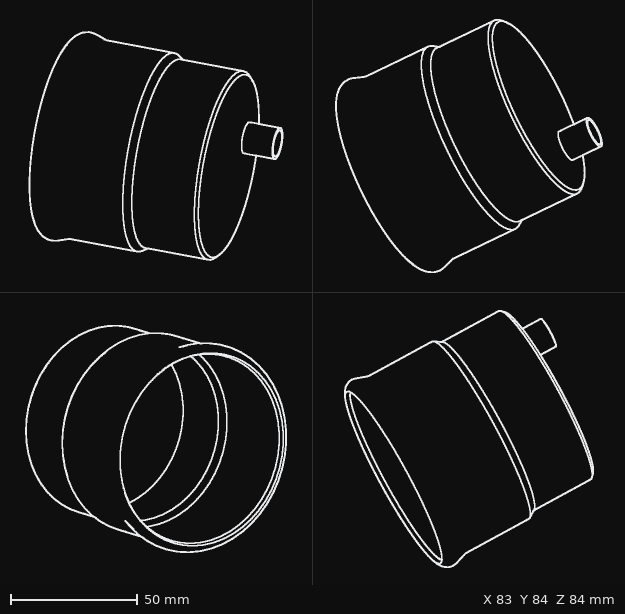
import cadquery as cq
import math

total_length = 83.0
bead_radius = 4.2
flare_end = 10.6
blend_radius = 4.2
step_start = 39.6
step_end = 42.7
cup_length = 70.1
end_chamfer = 1.3

rim_radius = 42.0
body_radius = 40.1
base_radius = 38.05
mouth_radius = 38.7
wall = 2.0

tube_offset = 21.8
tube_radius = 6.3
bore_radius = 5.3

cup_start = -total_length / 2
bead_center_radius = rim_radius - bead_radius
mouth_angle = math.pi - math.asin((mouth_radius - bead_center_radius) / bead_radius)
bead_center_station = -bead_radius * math.cos(mouth_angle)
groove_radius = bead_radius - wall
body_bore = body_radius - wall
base_bore = base_radius - wall
flare_dx = flare_end - bead_center_station
flare_dr = body_radius - bead_center_radius
flare_normal = math.atan2(flare_dr, flare_dx) + math.acos(bead_radius / math.hypot(flare_dx, flare_dr))
flare_slope = math.pi / 2 - flare_normal
blend_center = (
    flare_end + blend_radius * math.tan(flare_slope / 2),
    body_radius + blend_radius,
)


def on_bead(radius, angle):
    """Point (axial station, radius) on a circle about the bead center; angle is taken from +X."""
    return (
        bead_center_station + radius * math.cos(angle),
        bead_center_radius + radius * math.sin(angle),
    )


def on_blend(radius, slope):
    """Point on a circle about the blend center where its tangent falls by the given slope angle."""
    return (
        blend_center[0] - radius * math.sin(slope),
        blend_center[1] - radius * math.cos(slope),
    )


def add_rim_path(profile, bead_arc_radius, start_angle, blend_arc_radius):
    """Add bead arc, flare and blend arc to a profile standing at the start angle of the bead."""
    return (
        profile.threePointArc(
            on_bead(bead_arc_radius, (start_angle + flare_normal) / 2),
            on_bead(bead_arc_radius, flare_normal),
        )
        .lineTo(*on_blend(blend_arc_radius, flare_slope))
        .threePointArc(on_blend(blend_arc_radius, flare_slope / 2), on_blend(blend_arc_radius, 0))
    )


def revolve_about_x(profile):
    return profile.close().revolve(360, (0, 0, 0), (1, 0, 0)).translate((cup_start, 0, 0))


def outer_body():
    profile = cq.Workplane("XY").lineTo(0, mouth_radius)
    profile = (
        add_rim_path(profile, bead_radius, mouth_angle, blend_radius)
        .lineTo(step_start, body_radius)
        .lineTo(step_end, base_radius)
        .lineTo(cup_length - end_chamfer, base_radius)
        .lineTo(cup_length, base_radius - end_chamfer)
        .lineTo(cup_length, 0)
    )
    return revolve_about_x(profile)


def cavity():
    lip_angle = math.pi - math.asin((body_bore - bead_center_radius) / groove_radius)
    profile = (
        cq.Workplane("XY")
        .lineTo(0, mouth_radius)
        .lineTo(*on_bead(groove_radius, lip_angle))
    )
    profile = (
        add_rim_path(profile, groove_radius, lip_angle, blend_radius + wall)
        .lineTo(step_start, body_bore)
        .lineTo(step_end, base_bore)
        .lineTo(cup_length - wall, base_bore)
        .lineTo(cup_length - wall, 0)
    )
    return revolve_about_x(profile)


def axial_cylinder(radius, start, end):
    """Cylinder on the tube axis between two axial stations."""
    plane = cq.Workplane("YZ", origin=(cup_start + start, tube_offset, 0))
    return plane.circle(radius).extrude(end - start)


floor_start = cup_length - wall
result = (
    outer_body()
    .cut(cavity())
    .union(axial_cylinder(tube_radius, floor_start, total_length))
    .cut(axial_cylinder(bore_radius, floor_start, total_length))
)